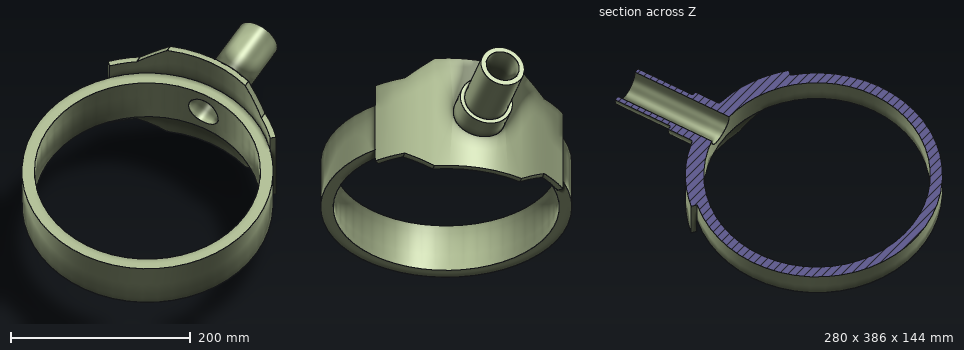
import cadquery as cq
import math

ring_outer_diameter = 280.0
ring_outer_radius = ring_outer_diameter / 2
ring_inner_radius = 126.0
ring_height = 60.0

saddle_thickness = 7.0
saddle_outer_radius = ring_outer_radius + saddle_thickness
saddle_half_angle = 47.5
saddle_height = 144.0
saddle_end_height = 101.0
crown_half_width = 50.0
shoulder_half_width = 80.3

collar_radius = ring_height / 2
collar_end = 175.0
stub_radius = 25.0
overall_length = 386
stub_end = overall_length - ring_outer_radius
bore_radius = 19.0


def radial_cylinder(radius, length):
    """Cylinder from the ring axis outward along +Y."""
    return cq.Workplane("XZ").circle(radius).extrude(-length)


def make_saddle():
    """Shell sector trimmed to a plate with tapered shoulders."""
    reach = 2 * saddle_outer_radius
    sector_x = reach * math.sin(math.radians(saddle_half_angle))
    sector_y = reach * math.cos(math.radians(saddle_half_angle))
    shell = (
        cq.Workplane("XY")
        .circle(saddle_outer_radius)
        .circle(ring_outer_radius)
        .extrude(saddle_height / 2, both=True)
    )
    sector = (
        cq.Workplane("XY")
        .polyline([(0, 0), (sector_x, sector_y), (-sector_x, sector_y)])
        .close()
        .extrude(saddle_height / 2, both=True)
    )
    top = saddle_height / 2
    shoulder = saddle_end_height / 2
    upper_edge = [
        (-saddle_outer_radius, shoulder),
        (-shoulder_half_width, shoulder),
        (-crown_half_width, top),
        (crown_half_width, top),
        (shoulder_half_width, shoulder),
        (saddle_outer_radius, shoulder),
    ]
    lower_edge = [(x, -z) for x, z in reversed(upper_edge)]
    plate = (
        cq.Workplane("XZ")
        .polyline(upper_edge + lower_edge)
        .close()
        .extrude(-saddle_outer_radius)
    )
    return shell.intersect(sector).intersect(plate)


ring = cq.Workplane("XY").circle(ring_outer_radius).extrude(ring_height / 2, both=True)
ring_opening = cq.Workplane("XY").circle(ring_inner_radius).extrude(ring_height, both=True)

result = (
    ring.union(make_saddle())
    .union(radial_cylinder(collar_radius, collar_end))
    .union(radial_cylinder(stub_radius, stub_end))
    .cut(ring_opening)
    .cut(radial_cylinder(bore_radius, stub_end))
)